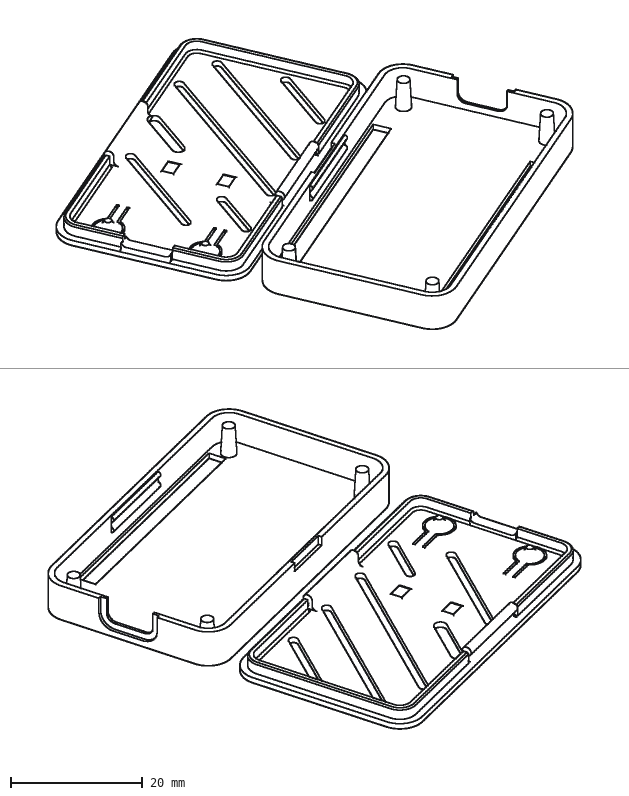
import cadquery as cq
import math

case_width = 31.45
case_length = 54.5
corner_radius = 4.0
total_width = 65.1
spacing = total_width - case_width
side_edge = -case_width / 2
front_edge = -case_length / 2
back_edge = case_length / 2

box_height = 6.25
wall = 1.0
floor = 1.0
plate = 1.0

lip_offset = 1.2
lip_thickness = 0.9
lip_top = 2.9
lip_top_chamfer = 0.25
lip_base_chamfer = 0.4

clip_length = 13.9
clip_gap = 14.85
clip_radius = 0.8
clip_offset = 1.75
clip_center_z = 2.7
clip_stem = 0.65
clip_foot_radius = 0.8

ridge_length = 14.1
ridge_radius = 0.45
ridge_embed = 0.1

port_width = 8.15
port_radius = 1.5
port_bottom = 2.15
port_margin = 1.05
recess_depth = 0.5

tab_offset = 0.5
tab_top = 2.15
tab_floor = 1.6
tab_corner_radius = 0.9
tab_back = lip_offset + lip_thickness + lip_base_chamfer

notch_length = 8.15
notch_depth = 0.6
notch_height = 1.55

vent_width = 1.5
wide_vent_width = 2.0
vent_angle = -41.8
vents = [
    (1.55, 14.3, 28.25, vent_width),
    (7.15, 19.35, 13.2, vent_width),
    (-0.1, 5.8, 32.75, vent_width),
    (-8.85, 3.6, 10.3, wide_vent_width),
    (-4.6, -10.15, 20.45, vent_width),
    (8.4, -11.8, 9.9, vent_width),
]

window_width = 1.9
window_length = 2.7
window_flare = 1.05
window_centers = [(-4.95, -4.15), (4.1, -4.15)]

button_x = 7.95
button_y = -22.3
button_radius = 2.2
button_gap = 0.3
button_tip_radius = 0.6
button_height = 1.5
button_flare_radius = 2.0
tongue_slit = 0.4
slit_offset = 0.85
slit_end_y = -16.15

peg_x = 11.7
peg_half_spacing = 23.3
peg_center_y = 0.2
peg_base_radius = 1.25
peg_top_radius = 1.0
peg_top = 6.05

slot_width = 2.9
slot_length = 39.1
slot_outer_offset = 1.4
slot_y = -2.0


def rounded_plate(offset, bottom, height):
    """Case outline moved inwards by an offset and extruded upwards."""
    return (
        cq.Workplane("XY", origin=(0, 0, bottom))
        .rect(case_width - 2 * offset, case_length - 2 * offset)
        .extrude(height)
        .edges("|Z")
        .fillet(corner_radius - offset)
    )


def block(x_range, y_range, z_range):
    """Box between the given (low, high) limits."""
    lows, highs = zip(x_range, y_range, z_range)
    sizes = [high - low for low, high in zip(lows, highs)]
    return cq.Workplane("XY").box(*sizes, centered=False).translate(lows)


def port_cutter(width, bottom, radius, y_range):
    """Opening along Y with two rounded lower corners, open at the top."""
    half = width / 2
    return block((-half, half), y_range, (bottom, bottom + box_height)).edges("|Y and <Z").fillet(radius)


def both_sides(body):
    return body.union(body.mirror("YZ"))


def lip():
    """Rim with a chamfered outer top edge and an inner base chamfer, open at the clips."""
    height = lip_top - plate
    outer = rounded_plate(lip_offset, plate, height).faces(">Z").chamfer(lip_top_chamfer)
    inner = rounded_plate(lip_offset + lip_thickness, plate, height)
    inner = inner.faces("<Z").chamfer(lip_base_chamfer)
    half_gap = clip_gap / 2
    gap = block((-case_width, case_width), (-half_gap, half_gap), (plate, lip_top))
    return outer.cut(inner).cut(gap)


def clip():
    """Clip at the -X side: a round bead on a thin stem with filleted feet."""
    bead_x = side_edge + clip_offset
    inner_x = bead_x + clip_radius
    outer_x = inner_x - clip_stem
    foot_top = plate + clip_foot_radius
    neck_drop = math.sqrt(clip_radius**2 - (outer_x - bead_x) ** 2)
    return (
        cq.Workplane("XZ")
        .moveTo(outer_x - clip_foot_radius, plate)
        .radiusArc((outer_x, foot_top), -clip_foot_radius)
        .lineTo(outer_x, clip_center_z - neck_drop)
        .radiusArc((bead_x - clip_radius, clip_center_z), clip_radius)
        .threePointArc((bead_x, clip_center_z + clip_radius), (inner_x, clip_center_z))
        .lineTo(inner_x, foot_top)
        .radiusArc((inner_x + clip_foot_radius, plate), -clip_foot_radius)
        .close()
        .extrude(clip_length / 2, both=True)
    )


def tab():
    """Block at the -Y edge with a concave fillet on its outer foot."""
    outer_y = front_edge + tab_offset
    inner_y = front_edge + tab_back
    return (
        cq.Workplane("YZ")
        .moveTo(front_edge, plate)
        .radiusArc((outer_y, plate + tab_offset), -tab_offset)
        .lineTo(outer_y, tab_top)
        .lineTo(inner_y, tab_top)
        .lineTo(inner_y, plate)
        .close()
        .extrude(port_width / 2, both=True)
    )


def vent_cutter(x, y, length, width):
    return (
        cq.Workplane("XY")
        .center(x, y)
        .transformed(rotate=(0, 0, vent_angle))
        .slot2D(length, width)
        .extrude(plate)
    )


def window_cutter(x, y):
    return (
        cq.Workplane("XY", origin=(x, y, 0))
        .rect(window_width + 2 * window_flare, window_length + 2 * window_flare)
        .workplane(offset=plate)
        .rect(window_width, window_length)
        .loft()
    )


def button_cutter(x):
    """Ring gap around a button, open at the tongue, with a slit along each tongue side."""
    hole = cq.Workplane("XY", origin=(x, button_y, 0)).circle(button_radius + button_gap).extrude(plate)
    disc = cq.Workplane("XY", origin=(x, button_y, 0)).circle(button_radius).extrude(plate)
    slit_y = (button_y, slit_end_y)
    outer_half = slit_offset + tongue_slit / 2
    inner_half = slit_offset - tongue_slit / 2
    slits = block((x - outer_half, x + outer_half), slit_y, (0, plate))
    tongue = block((x - inner_half, x + inner_half), slit_y, (0, plate))
    return hole.union(slits).cut(disc).cut(tongue)


def button(x):
    """Trumpet-shaped knob with a flat tip."""
    tip_z = plate + button_height
    return (
        cq.Workplane("XZ")
        .moveTo(0, plate)
        .lineTo(button_radius, plate)
        .radiusArc((button_tip_radius, tip_z), button_flare_radius)
        .lineTo(0, tip_z)
        .close()
        .revolve(360, (0, 0, 0), (0, 1, 0))
        .translate((x, button_y, 0))
    )


def make_lid():
    body = rounded_plate(0, 0, plate).union(lip()).union(tab())
    tab_range = (front_edge, front_edge + tab_back)
    body = body.cut(port_cutter(port_width, tab_floor, tab_corner_radius, tab_range))
    body = body.union(both_sides(clip()))
    for vent in vents:
        body = body.cut(vent_cutter(*vent))
    for center in window_centers:
        body = body.cut(window_cutter(*center))
    for x in (-button_x, button_x):
        body = body.cut(button_cutter(x)).union(button(x))
    return body


def snap_ridges():
    """Two half-round ridges on the -X wall that blend into a round groove between them."""
    face = side_edge + wall
    back = face - ridge_embed
    groove_z = box_height - (clip_center_z - plate)
    reach = ridge_radius + clip_radius
    half_pitch = math.sqrt(reach**2 - clip_radius**2)
    blend_x = face + ridge_radius * clip_radius / reach
    blend_rise = half_pitch * clip_radius / reach
    crest_x = face + ridge_radius
    bottom_z = groove_z - half_pitch - ridge_radius
    top_z = groove_z + half_pitch + ridge_radius
    return (
        cq.Workplane("XZ")
        .moveTo(face, bottom_z)
        .threePointArc((crest_x, groove_z - half_pitch), (blend_x, groove_z - blend_rise))
        .threePointArc((face, groove_z), (blend_x, groove_z + blend_rise))
        .threePointArc((crest_x, groove_z + half_pitch), (face, top_z))
        .lineTo(back, top_z)
        .lineTo(back, bottom_z)
        .close()
        .extrude(ridge_length / 2, both=True)
    )


def port():
    """Connector opening through the +Y wall with a wider recess on the outside."""
    opening = port_cutter(port_width, port_bottom, port_radius, (back_edge - wall, back_edge))
    recess = port_cutter(
        port_width + 2 * port_margin,
        port_bottom - port_margin,
        port_radius + port_margin,
        (back_edge - recess_depth, back_edge),
    )
    return opening.union(recess)


def pry_notch():
    half = notch_length / 2
    return block((side_edge, side_edge + notch_depth), (-half, half), (box_height - notch_height, box_height))


def floor_slot():
    """Slot along the -X side of the floor."""
    x = side_edge + slot_outer_offset + slot_width / 2
    return cq.Workplane("XY").center(x, slot_y).rect(slot_width, slot_length).extrude(floor)


def peg(x, y):
    return (
        cq.Workplane("XY", origin=(x, y, floor))
        .circle(peg_base_radius)
        .workplane(offset=peg_top - floor)
        .circle(peg_top_radius)
        .loft()
    )


def make_box():
    body = rounded_plate(0, 0, box_height).cut(rounded_plate(wall, floor, box_height))
    body = body.union(both_sides(snap_ridges()))
    body = body.cut(port()).cut(pry_notch())
    slot = floor_slot()
    body = body.cut(slot).cut(slot.mirror("YZ"))
    for x in (-peg_x, peg_x):
        for y in (peg_center_y - peg_half_spacing, peg_center_y + peg_half_spacing):
            body = body.union(peg(x, y))
    return body


lid = make_lid().translate((-spacing / 2, 0, 0))
box = make_box().translate((spacing / 2, 0, 0))

result = cq.Compound.makeCompound([lid.solids().val(), box.solids().val()])